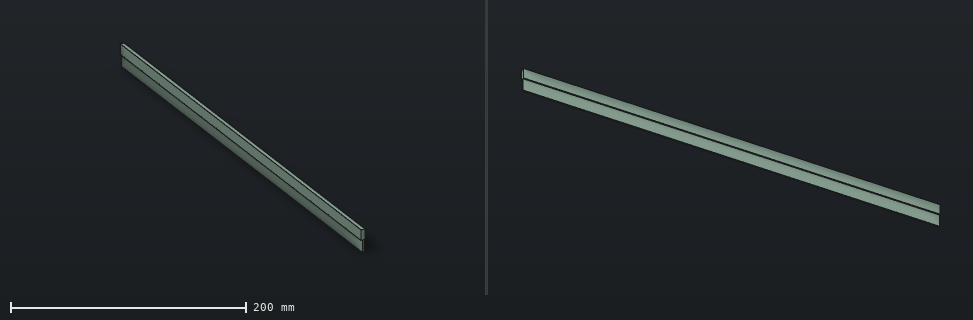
import cadquery as cq

length = 408.0
height = 22.0

holder_thickness = 4.0
holder_height = 10.0
blade_thickness = 1.5
blade_height = height - holder_height


def bar(thickness, bar_height, bottom):
    """Full-length bar centred on X and Y, standing on the given Z level."""
    return (
        cq.Workplane("XY")
        .workplane(offset=bottom)
        .rect(length, thickness)
        .extrude(bar_height)
    )


blade = bar(blade_thickness, blade_height, 0)
holder = bar(holder_thickness, holder_height, blade_height)

result = holder.union(blade)